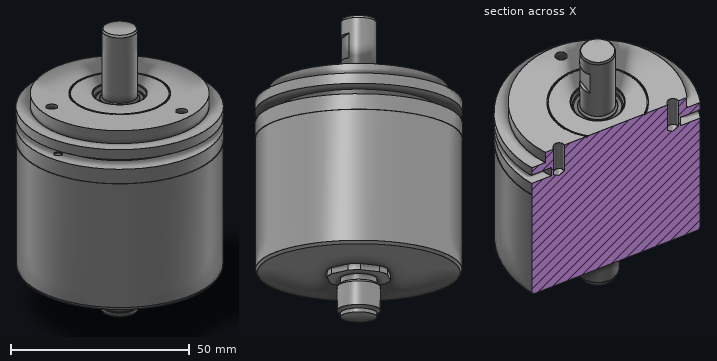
import cadquery as cq
import math

total_height = 86.5

shaft_radius = 5.0
shaft_length = 20.0
shaft_chamfer_height = 0.7
shaft_chamfer_width = 0.3
flat_depth = 0.95
flat_length = 7.2
flat_top_offset = 5.0

pilot_radius = 25.0
pilot_height = 4.0
flange_diameter = 58.0
flange_radius = flange_diameter / 2
upper_flange_height = 3.0
clamp_groove_radius = 23.3
clamp_groove_height = 3.0
lower_flange_height = 4.5
housing_radius = 28.9
housing_height = 39.0
housing_chamfer_height = 0.9
housing_chamfer_width = 0.5

recess_top_radius = 7.7
recess_rim_chamfer = 0.3
recess_wall_bottom_radius = 7.1
recess_floor_radius = 6.75
recess_depth = 1.7
recess_floor_bevel_height = 0.2
collar_radius = 5.6
collar_side_height = 0.3
collar_height = 0.9
ring_groove_outer_radius = 14.2
ring_groove_inner_radius = 13.8
ring_groove_depth = 0.35
mount_hole_count = 3
mount_hole_circle_radius = 21.0
mount_hole_diameter = 3.3
mount_hole_depth = 10.0
drill_tip_angle = 118.0

side_hole_radius = 1.2
side_hole_depth = 0.35
side_hole_circle_radius = 25.4
side_hole_angle = 262.0

nut_across_flats = 17.0
nut_corner_radius = 9.0
nut_height = 1.8
connector_radius = 5.1
thread_radius = 6.05
thread_chamfer_height = 0.8
thread_height = 8.4
connector_tip_height = 1.1

pilot_top = total_height - shaft_length
upper_flange_top = pilot_top - pilot_height
groove_top = upper_flange_top - upper_flange_height
lower_flange_top = groove_top - clamp_groove_height
housing_top = lower_flange_top - lower_flange_height
housing_bottom = housing_top - housing_height
nut_bottom = housing_bottom - nut_height
recess_floor = pilot_top - recess_depth


def disc(radius, bottom, height):
    return cq.Workplane("XY", origin=(0, 0, bottom)).circle(radius).extrude(height)


def revolve_profile(points):
    return cq.Workplane("XZ").polyline(points).close().revolve(360, (0, 0, 0), (0, 1, 0))


def make_housing():
    housing = revolve_profile([
        (0, housing_bottom),
        (housing_radius - housing_chamfer_width, housing_bottom),
        (housing_radius, housing_bottom + housing_chamfer_height),
        (housing_radius, housing_top),
        (flange_radius, housing_top),
        (flange_radius, lower_flange_top),
        (clamp_groove_radius, lower_flange_top),
        (clamp_groove_radius, groove_top),
        (flange_radius, groove_top),
        (flange_radius, upper_flange_top),
        (pilot_radius, upper_flange_top),
        (pilot_radius, pilot_top),
        (recess_top_radius, pilot_top),
        (recess_top_radius - recess_rim_chamfer, pilot_top - recess_rim_chamfer),
        (recess_wall_bottom_radius, recess_floor + recess_floor_bevel_height),
        (recess_floor_radius, recess_floor),
        (0, recess_floor),
    ])
    ring_groove = (
        cq.Workplane("XY", origin=(0, 0, pilot_top))
        .circle(ring_groove_outer_radius)
        .circle(ring_groove_inner_radius)
        .extrude(-ring_groove_depth)
    )
    return housing.cut(ring_groove)


def make_mount_holes():
    radius = mount_hole_diameter / 2
    tip_height = radius / math.tan(math.radians(drill_tip_angle / 2))
    shoulder = pilot_top - mount_hole_depth
    drill = revolve_profile([
        (0, shoulder - tip_height),
        (radius, shoulder),
        (radius, pilot_top),
        (0, pilot_top),
    ]).translate((mount_hole_circle_radius, 0, 0))
    holes = cq.Workplane("XY")
    for i in range(mount_hole_count):
        holes = holes.add(drill.rotate((0, 0, 0), (0, 0, 1), i * 360 / mount_hole_count))
    return holes.combine()


def make_side_hole():
    angle = math.radians(side_hole_angle)
    x = side_hole_circle_radius * math.cos(angle)
    y = side_hole_circle_radius * math.sin(angle)
    return disc(side_hole_radius, lower_flange_top, -side_hole_depth).translate((x, y, 0))


def make_shaft():
    shaft = revolve_profile([
        (0, recess_floor),
        (collar_radius, recess_floor),
        (collar_radius, recess_floor + collar_side_height),
        (shaft_radius, recess_floor + collar_height),
        (shaft_radius, total_height - shaft_chamfer_height),
        (shaft_radius - shaft_chamfer_width, total_height),
        (0, total_height),
    ])
    flat_bottom = total_height - flat_top_offset - flat_length
    flat_cutter = (
        cq.Workplane("XY")
        .box(2 * shaft_radius, flat_depth, flat_length, centered=(True, False, False))
        .translate((0, shaft_radius - flat_depth, flat_bottom))
    )
    return shaft.cut(flat_cutter)


def make_connector():
    hexagon = (
        cq.Workplane("XY", origin=(0, 0, nut_bottom))
        .polygon(6, nut_across_flats, circumscribed=True)
        .extrude(nut_height)
    )
    nut = hexagon.intersect(disc(nut_corner_radius, nut_bottom, nut_height))
    core = disc(connector_radius, 0, housing_bottom)
    chamfer_width = thread_radius - connector_radius
    thread = disc(thread_radius, connector_tip_height, thread_height)
    thread = thread.faces("<Z or >Z").chamfer(thread_chamfer_height, chamfer_width)
    return nut.union(core).union(thread)


result = (
    make_housing()
    .union(make_shaft())
    .union(make_connector())
    .cut(make_mount_holes())
    .cut(make_side_hole())
)